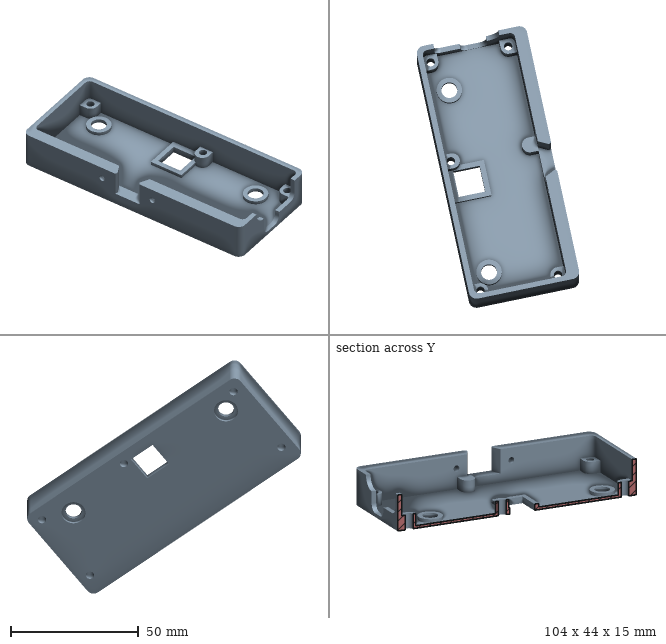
import cadquery as cq

LENGTH = 104
WIDTH = 44.0
HEIGHT = 15.0
SIDE_WALL = 2.0
REAR_WALL = 2.2
FRONT_WALL = 5.0
FLOOR = 1.2
CORNER_RADIUS = 3.0
CAVITY_RADIUS = 2.0

CAVITY_X = LENGTH / 2 - SIDE_WALL
CAVITY_REAR = WIDTH / 2 - REAR_WALL
CAVITY_FRONT = FRONT_WALL - WIDTH / 2

POST_RADIUS = 3.0
POST_HEIGHT = 5.0
SCREW_DIAMETER = 3.2
POST_X = 47.0
POST_REAR_Y = 17.0
POST_FRONT_Y = -14.0
MIDDLE_POST_X = 6.5
MIDDLE_SCREW_Y = 17.5

COLLAR_X = (-39.5, 35.4)
COLLAR_Y = 12.0
COLLAR_OUTER = 10.0
COLLAR_BORE = 6.2
RECESS_DIAMETER = 9.4
RECESS_DEPTH = 1.1
RIM_HEIGHT = 1.5

WINDOW_X = -2.2
WINDOW_Y = 12.0
WINDOW_SIZE = 10.6
FRAME_WIDTH = 14.6
FRAME_FRONT = 4.6

NOTCH_FLOOR = 5.0
NOTCH_THROAT = WINDOW_SIZE
NOTCH_INNER_WIDTH = FRAME_WIDTH
NOTCH_LIP_RADIUS = 1
PIN_DIAMETER = 2.5
PIN_SPACING = 23.9
PIN_Z = 9.8

OPENING_RADIUS = 3.0
LEDGE_REAR_Y = 14.9
LEDGE_Z = 6.0
SLOT_REAR_Y = 4.3
SLOT_FRONT_Y = -6.1
SLOT_Z = 1.6
SLOT_BEVEL_WIDTH = 0.2
SLOT_BEVEL_HEIGHT = 0.9
SCOOP_RADIUS = 5.0
SCOOP_Z = 9.7


def block(x0, x1, y0, y1, z0, z1):
    return cq.Workplane("XY").box(x1 - x0, y1 - y0, z1 - z0, centered=False).translate((x0, y0, z0))


def cylinder(x, y, diameter, z0, z1):
    return cq.Workplane("XY", origin=(x, y, z0)).circle(diameter / 2).extrude(z1 - z0)


def make_cavity():
    return (
        block(-CAVITY_X, CAVITY_X, CAVITY_FRONT, CAVITY_REAR, FLOOR, HEIGHT)
        .edges("|Z")
        .fillet(CAVITY_RADIUS)
    )


def make_shell():
    body = cq.Workplane("XY").box(LENGTH, WIDTH, HEIGHT, centered=(True, True, False))
    return body.edges("|Z").fillet(CORNER_RADIUS).cut(make_cavity())


def corner_post(x_side, y, wall_y):
    """Post filling a cavity corner, rounded on its free corner."""
    x = x_side * POST_X
    wall_x = x_side * (CAVITY_X + SIDE_WALL / 2)
    free_x = x - x_side * POST_RADIUS
    y_side = 1 if wall_y > y else -1
    free_y = y - y_side * POST_RADIUS
    x0, x1 = sorted((free_x, wall_x))
    y0, y1 = sorted((free_y, wall_y + y_side * REAR_WALL / 2))
    free_edge = "|Z and " + ("<X" if x_side > 0 else ">X") + " and " + ("<Y" if y_side > 0 else ">Y")
    post = block(x0, x1, y0, y1, FLOOR, FLOOR + POST_HEIGHT).edges(free_edge).fillet(POST_RADIUS)
    return post.intersect(make_cavity())


def middle_post(y, wall_y):
    """Half-round post standing against the front or rear wall."""
    y0, y1 = sorted((y, wall_y))
    top = FLOOR + POST_HEIGHT
    web = block(MIDDLE_POST_X - POST_RADIUS, MIDDLE_POST_X + POST_RADIUS, y0, y1, FLOOR, top)
    return web.union(cylinder(MIDDLE_POST_X, y, 2 * POST_RADIUS, FLOOR, top))


def make_notch():
    front = -WIDTH / 2
    throat_y = front + NOTCH_LIP_RADIUS
    throat = NOTCH_THROAT / 2
    mouth = throat + NOTCH_LIP_RADIUS
    inner = NOTCH_INNER_WIDTH / 2
    arc_offset = NOTCH_LIP_RADIUS * (1 - 0.5 ** 0.5)
    arc_x = throat + arc_offset
    arc_y = front + arc_offset
    return (
        cq.Workplane("XY", origin=(WINDOW_X, 0, NOTCH_FLOOR))
        .moveTo(-inner, CAVITY_FRONT)
        .lineTo(-throat, throat_y)
        .threePointArc((-arc_x, arc_y), (-mouth, front))
        .lineTo(mouth, front)
        .threePointArc((arc_x, arc_y), (throat, throat_y))
        .lineTo(inner, CAVITY_FRONT)
        .close()
        .extrude(HEIGHT - NOTCH_FLOOR)
    )


def make_side_opening():
    r = OPENING_RADIUS
    return (
        cq.Workplane("YZ", origin=(CAVITY_X, 0, 0))
        .moveTo(LEDGE_REAR_Y, HEIGHT)
        .lineTo(LEDGE_REAR_Y, LEDGE_Z + r)
        .radiusArc((LEDGE_REAR_Y - r, LEDGE_Z), r)
        .lineTo(SLOT_REAR_Y + SLOT_BEVEL_WIDTH, LEDGE_Z)
        .lineTo(SLOT_REAR_Y, LEDGE_Z - SLOT_BEVEL_HEIGHT)
        .lineTo(SLOT_REAR_Y, SLOT_Z + r)
        .radiusArc((SLOT_REAR_Y - r, SLOT_Z), r)
        .lineTo(SLOT_FRONT_Y + r, SLOT_Z)
        .radiusArc((SLOT_FRONT_Y, SLOT_Z + r), r)
        .lineTo(SLOT_FRONT_Y, SCOOP_Z)
        .radiusArc((SLOT_FRONT_Y - SCOOP_RADIUS, SCOOP_Z + SCOOP_RADIUS), SCOOP_RADIUS)
        .lineTo(SLOT_FRONT_Y - SCOOP_RADIUS, HEIGHT)
        .close()
        .extrude(SIDE_WALL)
    )


case = make_shell()

for side in (-1, 1):
    case = case.union(corner_post(side, POST_REAR_Y, CAVITY_REAR))
    case = case.union(corner_post(side, POST_FRONT_Y, CAVITY_FRONT))
case = case.union(middle_post(POST_REAR_Y, CAVITY_REAR))
case = case.union(middle_post(POST_FRONT_Y, CAVITY_FRONT))

frame_left = WINDOW_X - FRAME_WIDTH / 2
frame = block(frame_left, frame_left + FRAME_WIDTH, FRAME_FRONT, CAVITY_REAR, FLOOR, FLOOR + RIM_HEIGHT)
case = case.union(frame)
window = cq.Workplane("XY", origin=(WINDOW_X, WINDOW_Y, 0)).rect(WINDOW_SIZE, WINDOW_SIZE).extrude(HEIGHT)
case = case.cut(window)

for x in COLLAR_X:
    case = case.union(cylinder(x, COLLAR_Y, COLLAR_OUTER, FLOOR, FLOOR + RIM_HEIGHT))
    case = case.cut(cylinder(x, COLLAR_Y, COLLAR_BORE, 0, HEIGHT))
    case = case.cut(cylinder(x, COLLAR_Y, RECESS_DIAMETER, 0, RECESS_DEPTH))

screw_points = [(side * POST_X, y) for side in (-1, 1) for y in (POST_FRONT_Y, POST_REAR_Y)]
screw_points.append((MIDDLE_POST_X, MIDDLE_SCREW_Y))
for x, y in screw_points:
    case = case.cut(cylinder(x, y, SCREW_DIAMETER, 0, HEIGHT))

for side in (-1, 1):
    pin_x = WINDOW_X + side * PIN_SPACING / 2
    pin_plane = cq.Workplane("XZ", origin=(pin_x, CAVITY_FRONT, PIN_Z))
    case = case.cut(pin_plane.circle(PIN_DIAMETER / 2).extrude(FRONT_WALL))

result = case.cut(make_notch()).cut(make_side_opening())